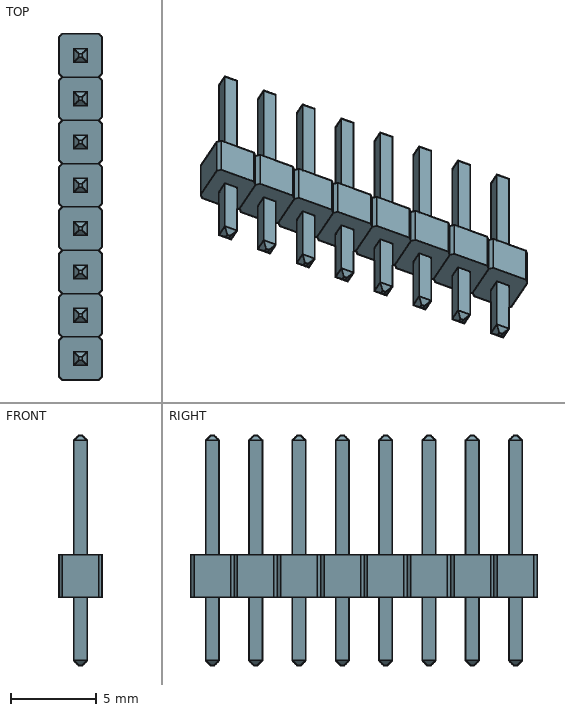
import cadquery as cq

position_count = 8
pitch = 2.54

block_height = 2.5
block_corner_chamfer = 0.2

pin_width = 0.8
pin_tip_chamfer = 0.3
pin_above_block = 7.0
pin_below_block = 4.0
pin_length = pin_below_block + block_height + pin_above_block


def make_block():
    """Square block, one pitch wide, with its four upright corners chamfered."""
    block = cq.Workplane("XY").box(pitch, pitch, block_height, centered=(True, True, False))
    return block.edges("|Z").chamfer(block_corner_chamfer)


def make_pin():
    """Square pin with both end faces chamfered to a small flat."""
    pin = cq.Workplane("XY").box(pin_width, pin_width, pin_length, centered=(True, True, False))
    pin = pin.faces("<Z or >Z").edges().chamfer(pin_tip_chamfer)
    return pin.translate((0, 0, -pin_below_block))


def make_header_position(y_center):
    """One header position: a block and its pin as a single solid."""
    return make_block().union(make_pin()).translate((0, y_center, 0))


first_y = -pitch * (position_count - 1) / 2
header_positions = []
for index in range(position_count):
    header_position = make_header_position(first_y + index * pitch)
    header_positions.append(header_position.val())

result = cq.Compound.makeCompound(header_positions)